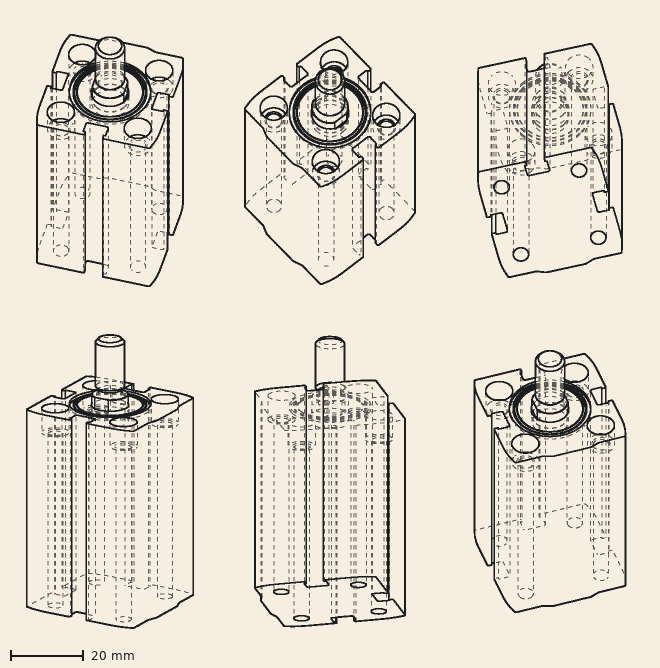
import cadquery as cq
import math


total_height = 76.5
housing_height = 57.5
housing_width = 34.5
half_width = housing_width / 2
flank_flat_half = 10.6
flank_radius = 18.75
corner_fillet = 0.5

pad_height = 1.0
pad_top_half = 5.6
pad_foot_half = 8.2
pad_fillet = 1.5

slot_mouth_width = 5.2
slot_inner_width = 6.35
slot_depth = 4.5
slot_lip = 1.2
slot_mouth_fillet = 0.3
slot_lip_fillet = 0.2
slot_floor_fillet = 0.5

hole_spacing = 21.95
hole_diameter = 4.2
hole_chamfer = 0.4
counterbore_diameter = 7.5
counterbore_depth = 6.95

recess_radius = 22.4 / 2
recess_depth = 0.85
ring_depth = 0.2
outer_ring_radius = 10.2
inner_groove_radius = 20.0 / 2
inner_groove_depth = 0.6
inner_ring_foot_radius = 9.7
inner_ring_radius = 9.2
cover_radius = 9.0
cover_depth = 0.4
cover_level = housing_height - cover_depth

rod_radius = 10.0 / 2
rod_shoulder_level = 60.35
rod_shoulder_chamfer = 0.1
rod_bore_diameter = 10.3
rod_insertion = 4.6
rod_bottom = cover_level - rod_insertion
thread_radius = 8.0 / 2
thread_bottom = 62.7
thread_tip_chamfer = 0.9
tip_radius = 6.4 / 2
neck_radius = 6.4 / 2
neck_fillet = 0.8
neck_top = 61.8
neck_taper_radius = 3.5
neck_taper_level = 62.3
flat_width = 9.0
flat_runout_below_cover = 0.8
rod_clearance_depth = 2.3


def housing_blank():
    """Extruded outline with bowed flanks and a raised pad on the +Y side."""
    bow_angle = math.asin((half_width - flank_flat_half) / flank_radius)
    corner_x = half_width - flank_radius * (1 - math.cos(bow_angle))
    middle_x = half_width - flank_radius * (1 - math.cos(bow_angle / 2))
    middle_y = flank_flat_half + flank_radius * math.sin(bow_angle / 2)
    pad_y = half_width + pad_height
    blank = (
        cq.Workplane("XY")
        .moveTo(-corner_x, -half_width)
        .lineTo(corner_x, -half_width)
        .threePointArc((middle_x, -middle_y), (half_width, -flank_flat_half))
        .lineTo(half_width, flank_flat_half)
        .threePointArc((middle_x, middle_y), (corner_x, half_width))
        .lineTo(pad_foot_half, half_width)
        .lineTo(pad_top_half, pad_y)
        .lineTo(-pad_top_half, pad_y)
        .lineTo(-pad_foot_half, half_width)
        .lineTo(-corner_x, half_width)
        .threePointArc((-middle_x, middle_y), (-half_width, flank_flat_half))
        .lineTo(-half_width, -flank_flat_half)
        .threePointArc((-middle_x, -middle_y), (-corner_x, -half_width))
        .close()
        .extrude(housing_height)
    )
    corner_points = [(x, y) for x in (-corner_x, corner_x) for y in (-half_width, half_width)]
    pad_points = [
        (side * x, y)
        for side in (-1, 1)
        for x, y in ((pad_foot_half, half_width), (pad_top_half, pad_y))
    ]
    blank = fillet_upright_edges(blank, corner_points, corner_fillet)
    return fillet_upright_edges(blank, pad_points, pad_fillet)


def fillet_upright_edges(body, points, radius):
    """Round the vertical edges that pass through the given XY points."""
    half_box = 0.04
    for x, y in points:
        box = cq.selectors.BoxSelector(
            (x - half_box, y - half_box, 0), (x + half_box, y + half_box, housing_height)
        )
        body = body.edges("|Z").edges(box).fillet(radius)
    return body


def cut_slot(body, angle):
    """Cut the slot of the -Y face, turned about Z by the given angle, and round its edges."""
    floor_y = -half_width + slot_depth
    lip_y = -half_width + slot_lip
    mouth = slot_mouth_width / 2
    inner = slot_inner_width / 2
    half_outline = [(mouth, -half_width), (mouth, lip_y), (inner, lip_y), (inner, floor_y)]
    outline = half_outline + [(-x, y) for x, y in reversed(half_outline)]
    slot = cq.Workplane("XY").polyline(outline).close().extrude(housing_height)
    body = body.cut(slot.rotate((0, 0, 0), (0, 0, 1), angle))
    turn = math.radians(angle)
    rounded_edges = (
        (mouth, -half_width, slot_mouth_fillet),
        (inner, lip_y, slot_lip_fillet),
        (inner, floor_y, slot_floor_fillet),
    )
    for offset, y, radius in rounded_edges:
        edge_points = [
            (x * math.cos(turn) - y * math.sin(turn), x * math.sin(turn) + y * math.cos(turn))
            for x in (-offset, offset)
        ]
        body = fillet_upright_edges(body, edge_points, radius)
    return body


def mounting_hole():
    """Stepped through hole with a counterbore from the top and a chamfered bore."""
    bore = hole_diameter / 2
    floor = housing_height - counterbore_depth
    return (
        cq.Workplane("XZ")
        .moveTo(0, 0)
        .lineTo(bore, 0)
        .lineTo(bore, floor - hole_chamfer)
        .lineTo(bore + hole_chamfer, floor)
        .lineTo(counterbore_diameter / 2, floor)
        .lineTo(counterbore_diameter / 2, housing_height)
        .lineTo(0, housing_height)
        .close()
        .revolve(360, (0, 0, 0), (0, 1, 0))
    )


def cover_recess():
    """Round recess whose floor has two rings with sloped outer walls around the flat cover."""
    ring_level = housing_height - ring_depth
    inner_groove_level = housing_height - inner_groove_depth
    return (
        cq.Workplane("XZ")
        .polyline([
            (0, housing_height),
            (recess_radius, housing_height),
            (recess_radius, housing_height - recess_depth),
            (outer_ring_radius, ring_level),
            (inner_groove_radius, ring_level),
            (inner_groove_radius, inner_groove_level),
            (inner_ring_foot_radius, inner_groove_level),
            (inner_ring_radius, ring_level),
            (cover_radius, ring_level),
            (cover_radius, cover_level),
            (0, cover_level),
        ])
        .close()
        .revolve(360, (0, 0, 0), (0, 1, 0))
    )


def rod_socket():
    """Bore that holds the rod end, wider near the cover face."""
    seat = cq.Workplane("XY").workplane(offset=rod_bottom).circle(rod_radius).extrude(rod_insertion)
    clearance = (
        cq.Workplane("XY")
        .workplane(offset=cover_level - rod_clearance_depth)
        .circle(rod_bore_diameter / 2)
        .extrude(rod_clearance_depth)
    )
    return seat.union(clearance)


def build_housing():
    body = housing_blank()
    for angle in (-90, 0, 90):
        body = cut_slot(body, angle)
    hole = mounting_hole()
    for x in (-hole_spacing / 2, hole_spacing / 2):
        for y in (-hole_spacing / 2, hole_spacing / 2):
            body = body.cut(hole.translate((x, y, 0)))
    return body.cut(cover_recess()).cut(rod_socket())


def spanner_flat():
    """Cutter for the flat on the +X side, ending in a 45 degree run-out below the cover face."""
    flat_x = flat_width / 2
    runout_bottom = cover_level - flat_runout_below_cover
    runout = rod_radius - flat_x
    return (
        cq.Workplane("XZ")
        .polyline([
            (flat_x, rod_shoulder_level),
            (flat_x, runout_bottom),
            (flat_x + runout, runout_bottom - runout),
            (flat_x + runout, rod_shoulder_level),
        ])
        .close()
        .extrude(rod_radius, both=True)
    )


def build_rod():
    """Turned rod with a threaded end, an undercut neck and two spanner flats."""
    fillet_mid = neck_fillet * (1 - math.sqrt(0.5))
    rod = (
        cq.Workplane("XZ")
        .moveTo(0, rod_bottom)
        .lineTo(rod_radius, rod_bottom)
        .lineTo(rod_radius, rod_shoulder_level - rod_shoulder_chamfer)
        .lineTo(rod_radius - rod_shoulder_chamfer, rod_shoulder_level)
        .lineTo(neck_radius + neck_fillet, rod_shoulder_level)
        .threePointArc(
            (neck_radius + fillet_mid, rod_shoulder_level + fillet_mid),
            (neck_radius, rod_shoulder_level + neck_fillet),
        )
        .lineTo(neck_radius, neck_top)
        .lineTo(neck_taper_radius, neck_taper_level)
        .lineTo(thread_radius, thread_bottom)
        .lineTo(thread_radius, total_height - thread_tip_chamfer)
        .lineTo(tip_radius, total_height)
        .lineTo(0, total_height)
        .close()
        .revolve(360, (0, 0, 0), (0, 1, 0))
    )
    flat = spanner_flat()
    return rod.cut(flat).cut(flat.mirror("YZ"))


housing = build_housing()
piston_rod = build_rod()

result = cq.Compound.makeCompound([housing.val(), piston_rod.val()])